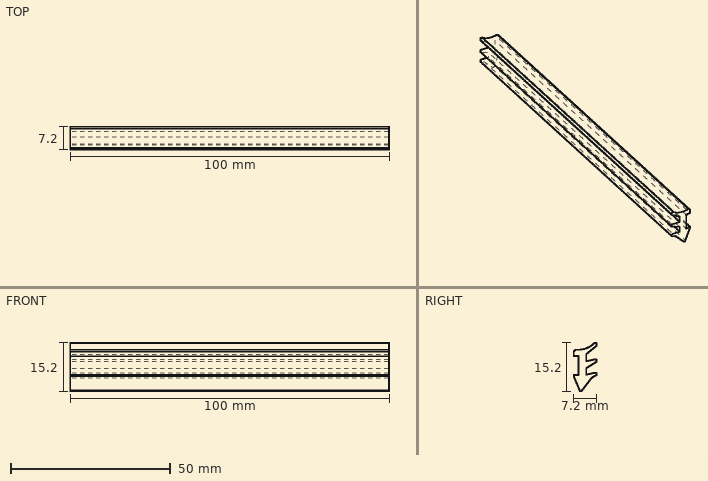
import cadquery as cq
import math

length = 100.0
depth = 7.2
height = 15.2

web_front = 1.5
web_rear = 4.0

lower_lip_edge = 4.7
groove_bottom = 5.2
groove_top = 11.1
upper_lip_edge = 12.4
upper_lip_mid = (0.25, 12.8)
upper_lip_top = 13.1
upper_lip_flat_front = 0.6
upper_lip_flat_rear = 1.5

top_curve_mid = (3.8, 13.5)
top_fin_crest = (6.5, height)
top_fin_nose_bottom = 14.3
top_fin_root = 11.7

lower_fin_top = 5.9
fin_pitch = 4.2
fin_nose_flat = 0.5
fin_nose_height = 0.8
fin_upper_drop = 0.6
fin_lower_drop = 2.8
nose_round = 0.3

foot_round = 0.4
foot_tip_y = 2.2
foot_flank_end = (foot_tip_y - foot_round, foot_round)
foot_flank_mid = (0.8, 2.8)
foot_shoulder = (5.7, 4.3)

foot_slope = math.atan2(foot_shoulder[1] - foot_round, foot_shoulder[0] - foot_tip_y)
foot_round_end = (
    foot_tip_y + foot_round * math.sin(foot_slope),
    foot_round - foot_round * math.cos(foot_slope),
)

upper_fin_top = lower_fin_top + fin_pitch


def fin_upper_side(profile, fin_top):
    """Draw from the nose of a lower fin along its top to the web."""
    return (
        profile.lineTo(depth, fin_top)
        .lineTo(depth - fin_nose_flat, fin_top)
        .lineTo(web_rear, fin_top - fin_upper_drop)
    )


def strip_profile():
    """Closed YZ section, drawn from the foot tip over the rear fins and down the front."""
    profile = (
        cq.Workplane("YZ")
        .moveTo(*foot_flank_end)
        .threePointArc((foot_tip_y, 0), foot_round_end)
        .lineTo(*foot_shoulder)
        .lineTo(depth, lower_fin_top - fin_nose_height)
    )
    profile = fin_upper_side(profile, lower_fin_top)
    profile = (
        profile.lineTo(web_rear, upper_fin_top - fin_lower_drop)
        .lineTo(depth, upper_fin_top - fin_nose_height)
    )
    profile = fin_upper_side(profile, upper_fin_top)
    return (
        profile.lineTo(web_rear, top_fin_root)
        .lineTo(depth, top_fin_nose_bottom)
        .lineTo(depth, height)
        .lineTo(*top_fin_crest)
        .threePointArc(top_curve_mid, (upper_lip_flat_rear, upper_lip_top))
        .lineTo(upper_lip_flat_front, upper_lip_top)
        .threePointArc(upper_lip_mid, (0, upper_lip_edge))
        .lineTo(0, groove_top)
        .lineTo(web_front, groove_top)
        .lineTo(web_front, groove_bottom)
        .lineTo(0, groove_bottom)
        .lineTo(0, lower_lip_edge)
        .threePointArc(foot_flank_mid, foot_flank_end)
        .close()
    )


strip = strip_profile().extrude(length)

result = strip.edges("|X and >Y").fillet(nose_round)